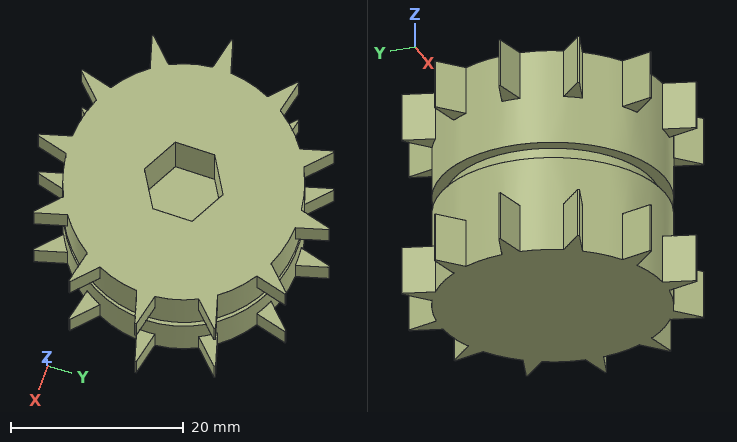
import cadquery as cq
import math

body_height = 26.0
body_diameter = 28.0

groove_width = 2.0
groove_diameter = 25.0

tooth_count = 12
tooth_height = 6.0
overall_diameter = 35.44
tooth_half_angle = 15.0
tooth_tip_width = 0.2
tooth_overlap = 1.0

hex_across_flats = 8.3
hex_sides = 6
hex_depth = body_height / 2


def make_body():
    """Solid of revolution: two drums joined by the groove neck."""
    body_radius = body_diameter / 2
    groove_radius = groove_diameter / 2
    groove_bottom = (body_height - groove_width) / 2
    groove_top = groove_bottom + groove_width
    return (
        cq.Workplane("XZ")
        .lineTo(body_radius, 0)
        .lineTo(body_radius, groove_bottom)
        .lineTo(groove_radius, groove_bottom)
        .lineTo(groove_radius, groove_top)
        .lineTo(body_radius, groove_top)
        .lineTo(body_radius, body_height)
        .lineTo(0, body_height)
        .close()
        .revolve(360, (0, 0, 0), (0, 1, 0))
    )


def make_tooth(bottom):
    """Tapered tooth pointing along +X, with its root buried in the body."""
    root_radius = body_diameter / 2 - tooth_overlap
    tooth_tip_radius = overall_diameter / 2
    tip_half_width = tooth_tip_width / 2
    taper = math.tan(math.radians(tooth_half_angle))
    root_half_width = tip_half_width + (tooth_tip_radius - root_radius) * taper
    return (
        cq.Workplane("XY", origin=(0, 0, bottom))
        .moveTo(root_radius, -root_half_width)
        .lineTo(tooth_tip_radius, -tip_half_width)
        .lineTo(tooth_tip_radius, tip_half_width)
        .lineTo(root_radius, root_half_width)
        .close()
        .extrude(tooth_height)
    )


def add_teeth(body):
    """Add an evenly spaced ring of teeth flush with each end face."""
    for bottom in (0, body_height - tooth_height):
        tooth = make_tooth(bottom)
        for index in range(tooth_count):
            angle = index * 360 / tooth_count
            body = body.union(tooth.rotate((0, 0, 0), (0, 0, 1), angle))
    return body


def cut_hex_socket(body):
    """Cut the hexagonal socket down from the top face."""
    hex_across_corners = hex_across_flats / math.cos(math.pi / hex_sides)
    socket = (
        cq.Workplane("XY", origin=(0, 0, body_height - hex_depth))
        .transformed(rotate=(0, 0, 90))
        .polygon(hex_sides, hex_across_corners)
        .extrude(hex_depth)
    )
    return body.cut(socket)


result = cut_hex_socket(add_teeth(make_body()))